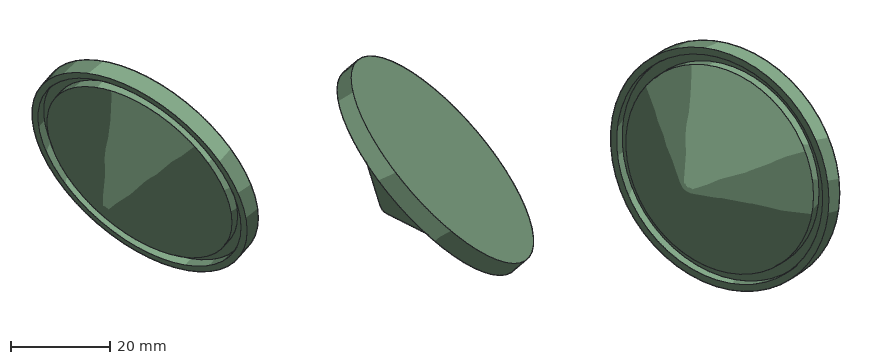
import cadquery as cq
import math

total_depth = 16.55
outer_radius = 52.6 / 2
rim_inner_radius = 49.6 / 2
cone_base_radius = 45.2 / 2
rim_depth = 4.0
groove_depth = 2.0
cone_slope = math.radians(30)

tip_y = -total_depth
rim_face_y = -rim_depth
groove_floor_y = rim_face_y + groove_depth

cone_height = total_depth - rim_depth
sharp_height = cone_base_radius * math.tan(cone_slope)
tip_radius = (sharp_height - cone_height) / (1 / math.cos(cone_slope) - 1)


def tip_point(angle):
    """Point on the tip sphere at an angle from the axis, as (radius, y)."""
    center_y = tip_y + tip_radius
    return tip_radius * math.sin(angle), center_y - tip_radius * math.cos(angle)


half_section = (
    cq.Workplane("XY")
    .moveTo(0, 0)
    .lineTo(outer_radius, 0)
    .lineTo(outer_radius, rim_face_y)
    .lineTo(rim_inner_radius, rim_face_y)
    .lineTo(rim_inner_radius, groove_floor_y)
    .lineTo(cone_base_radius, groove_floor_y)
    .lineTo(cone_base_radius, rim_face_y)
    .lineTo(*tip_point(cone_slope))
    .threePointArc(tip_point(cone_slope / 2), tip_point(0))
    .close()
)

result = half_section.revolve(360, (0, 0, 0), (0, 1, 0))